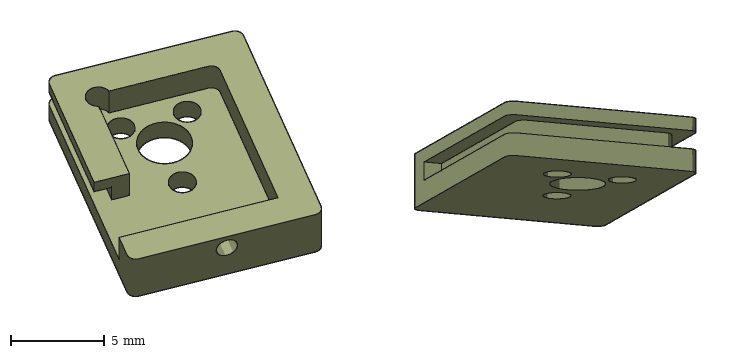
import cadquery as cq

LENGTH = 14.0
WIDTH = 11.0
HEIGHT = 3.0
CORNER_RADIUS = 0.5

FLOOR_THICKNESS = 1.25
RIM_WIDTH = 2.0
POCKET_RIGHT = 12.2
OPENING_LEFT = 8.0
POCKET_CORNER_RADIUS = 0.5
RELIEF_DIAMETER = 1.4
RELIEF_CENTER = (2.2, 2.2)

GROOVE_HEIGHT = 1.0
GROOVE_DEPTH = 1.0

CENTER_HOLE_DIAMETER = 3.0
CENTER_HOLE = (5.0, 5.0)
SMALL_HOLE_DIAMETER = 1.5
RIGHT_HOLE_OFFSET = 3.0
LEFT_HOLE_OFFSET_X = 1.75
LEFT_HOLE_OFFSET_Y = 1.875

SIDE_HOLE_DIAMETER = 1.2
SIDE_HOLE_Y = WIDTH / 2
SIDE_HOLE_Z = (FLOOR_THICKNESS + HEIGHT) / 2


def block(x_min, x_max, y_min, y_max, z_min, z_max):
    """Box given by its limits along each axis."""
    size = (x_max - x_min, y_max - y_min, z_max - z_min)
    return cq.Workplane("XY").box(*size, centered=False).translate((x_min, y_min, z_min))


def make_plate():
    plate = block(0, LENGTH, 0, WIDTH, 0, HEIGHT)
    return plate.edges("|Z").fillet(CORNER_RADIUS)


def make_pocket():
    main = block(RIM_WIDTH, POCKET_RIGHT, RIM_WIDTH, WIDTH - RIM_WIDTH, FLOOR_THICKNESS, HEIGHT)
    main = main.edges("|Z and <X and >Y").fillet(POCKET_CORNER_RADIUS)
    opening = block(OPENING_LEFT, POCKET_RIGHT, 0, RIM_WIDTH, FLOOR_THICKNESS, HEIGHT)
    relief = (
        cq.Workplane("XY", origin=(*RELIEF_CENTER, FLOOR_THICKNESS))
        .circle(RELIEF_DIAMETER / 2)
        .extrude(HEIGHT - FLOOR_THICKNESS)
    )
    return main.union(opening).union(relief)


def make_groove():
    """U-shaped ring up to the right wall: a slab less the core behind the groove."""
    z_top = FLOOR_THICKNESS + GROOVE_HEIGHT
    slab = block(0, POCKET_RIGHT, 0, WIDTH, FLOOR_THICKNESS, z_top)
    core = block(GROOVE_DEPTH, LENGTH, GROOVE_DEPTH, WIDTH - GROOVE_DEPTH, FLOOR_THICKNESS, z_top)
    return slab.cut(core.edges("|Z and <X").fillet(CORNER_RADIUS))


def make_floor_hole(center, diameter):
    return cq.Workplane("XY").center(*center).circle(diameter / 2).extrude(HEIGHT)


def make_side_hole():
    return (
        cq.Workplane("YZ", origin=(POCKET_RIGHT, SIDE_HOLE_Y, SIDE_HOLE_Z))
        .circle(SIDE_HOLE_DIAMETER / 2)
        .extrude(LENGTH - POCKET_RIGHT)
    )


center_x, center_y = CENTER_HOLE
small_holes = [
    (center_x + RIGHT_HOLE_OFFSET, center_y),
    (center_x - LEFT_HOLE_OFFSET_X, center_y + LEFT_HOLE_OFFSET_Y),
    (center_x - LEFT_HOLE_OFFSET_X, center_y - LEFT_HOLE_OFFSET_Y),
]

result = make_plate().cut(make_groove()).cut(make_pocket()).cut(make_side_hole())
result = result.cut(make_floor_hole(CENTER_HOLE, CENTER_HOLE_DIAMETER))
for hole_center in small_holes:
    result = result.cut(make_floor_hole(hole_center, SMALL_HOLE_DIAMETER))